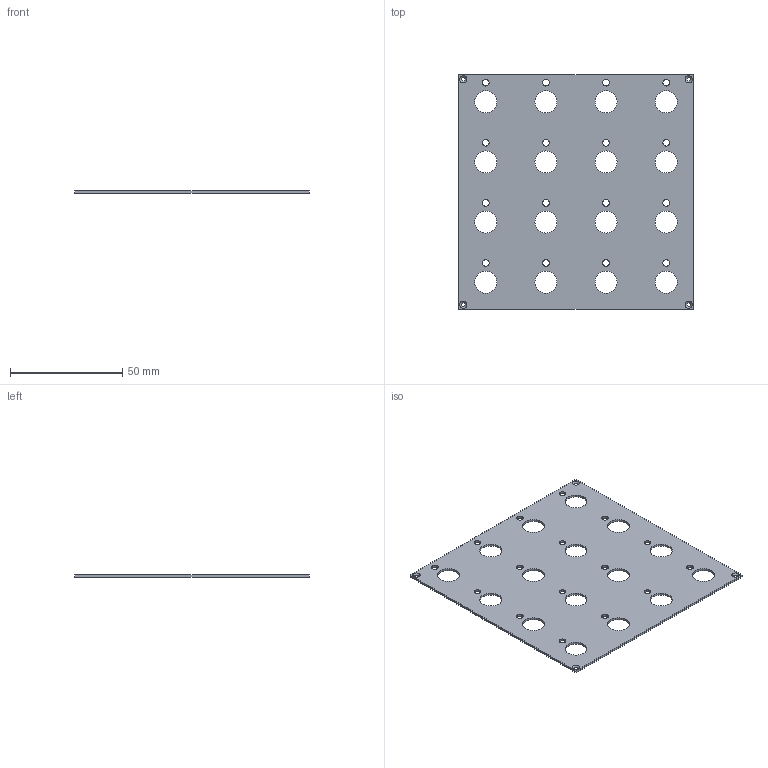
import cadquery as cq

plate_side = 104.35
plate_thickness = 1.0

grid_count = 4
grid_pitch = 26.725
large_hole_diameter = 9.8
small_hole_diameter = 3.0
small_hole_offset = 8.525

screw_hole_inset = 2.075
screw_hole_diameter = 1.75
countersink_diameter = 3.25
countersink_angle = 90.0


def make_plate():
    return cq.Workplane("XY").box(plate_side, plate_side, plate_thickness, centered=(True, True, False))


def cut_hole_grid(body, diameter, y_offset):
    """Cut a square grid of through holes, shifted along Y from the plate centre."""
    return (
        body.faces(">Z")
        .workplane(origin=(0, y_offset, plate_thickness))
        .rarray(grid_pitch, grid_pitch, grid_count, grid_count)
        .hole(diameter)
    )


def cut_screw_holes(body):
    """Cut one countersunk through hole in each corner."""
    spacing = plate_side - 2 * screw_hole_inset
    return (
        body.faces(">Z")
        .workplane(origin=(0, 0, plate_thickness))
        .rarray(spacing, spacing, 2, 2)
        .cskHole(screw_hole_diameter, countersink_diameter, countersink_angle)
    )


plate = make_plate()
plate = cut_hole_grid(plate, large_hole_diameter, 0)
plate = cut_hole_grid(plate, small_hole_diameter, small_hole_offset)
result = cut_screw_holes(plate)